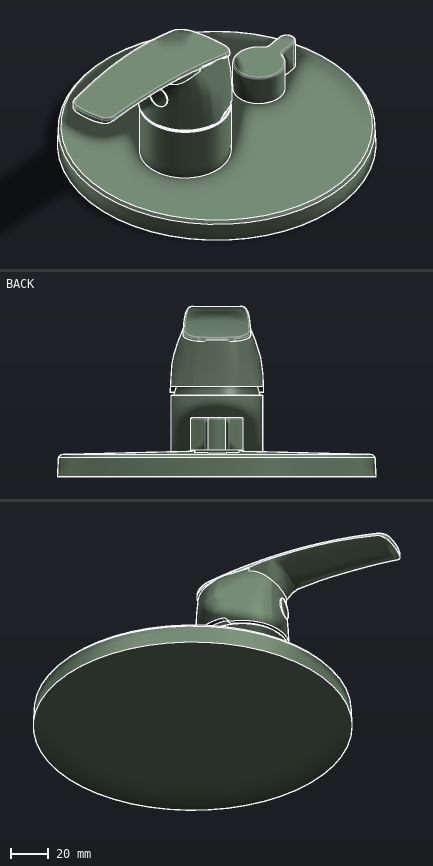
import cadquery as cq
import math

CLEAR_Z = 100.0
SIDE_CLEARANCE = 40.0
OVERLAP = 1.0

PLATE_RADIUS = 85.0
PLATE_SHOULDER_RADIUS = 84.5
PLATE_SHOULDER_Z = 10.3
PLATE_TOP_RADIUS = 83.0
PLATE_EDGE_Z = 12.0
PLATE_CROWN_Z = 14.0

VALVE_Y = -28.0
SLEEVE_RADIUS = 24.5
SLEEVE_TOP_Z = 43.7
SLEEVE_EDGE_CHAMFER = 0.4
NECK_RADIUS = 23.0
NECK_TOP_RADIUS = 21.0
NECK_TOP_Z = 50.0

SKIRT_Z = 45.0
SKIRT_RADIUS = 25.0
BODY_SECTIONS = [
    (SKIRT_Z, SKIRT_RADIUS, VALVE_Y + SKIRT_RADIUS, VALVE_Y - SKIRT_RADIUS, 2.0),
    (56.0, 24.5, -3.2, -52.4, 2.05),
    (66.0, 22.8, -4.0, -51.7, 2.2),
    (75.0, 19.6, -5.4, -51.2, 2.5),
    (86.0, 16.0, -7.2, -51.0, 2.6),
]
POINTS_PER_SECTION = 24
RELIEF_Z = 48.0
RELIEF_BACK_Y = -25.5
RELIEF_FRONT_Y = -31.0

LEVER_BACK_Y = -5.2
OVERALL_LENGTH = 200.01
LEVER_TIP_Y = PLATE_RADIUS - OVERALL_LENGTH
LEVER_RIM = 2.0
LEVER_BACK_CORNER = 10.0
LEVER_TIP_CORNER = 6.0
LEVER_TOP_ROUND = 1.0
LEVER_SHOULDER_Y = -8.0
LEVER_BACK_HALF_WIDTH = 18.1
LEVER_MID_Y = -43.0
LEVER_MID_HALF_WIDTH = 17.5
LEVER_TIP_SHOULDER_Y = -113.0
LEVER_TIP_HALF_WIDTH = 13.1
CREST_Y = -102.5
CREST_Z = 90.94
TOP_ARC_RADIUS = 288.0
BELLY_START_Y = -38.0
BELLY_END_Y = LEVER_TIP_Y - OVERLAP
BELLY_MARGIN = 1.08
HALF_WIDTH_TAPER = 0.062
BELLY_ROWS = 33
BELLY_COLUMNS = 13
BELLY_FIT = 0.02
KEEL_REFERENCE_Y = -62.4
KEEL_REFERENCE_Z = 80.2
KEEL_SLOPE = 0.087
KEEL_TIP_Y = -110.0
KEEL_TIP_RISE = 0.09
THROAT_Y = -59.5
THROAT_RADIUS = 8.0
THROAT_REACH = 7.0

PLUG_RADIUS = 5.7
PLUG_Z = 63.0
PLUG_FACE_Y = -52.1
PLUG_DEPTH = 6.0
PLUG_TILT = 3.5

KNOB_Y = 37.7
KNOB_RADIUS = 14.0
KNOB_BOTTOM_Z = 14.4
KNOB_TOP_Z = 31.5
KNOB_STEM_RADIUS = 23.73 / 2
POINTER_HALF_WIDTH = 4.7
POINTER_TIP_Y = 67.0
POINTER_BLEND = 3.0
KNOB_EDGE_ROUND = 0.7


def make_plate():
    """Round plate with a drafted wall, bevelled edge and slightly raised middle."""
    return (
        cq.Workplane("XZ")
        .lineTo(PLATE_RADIUS, 0)
        .lineTo(PLATE_SHOULDER_RADIUS, PLATE_SHOULDER_Z)
        .lineTo(PLATE_TOP_RADIUS, PLATE_EDGE_Z)
        .lineTo(0, PLATE_CROWN_Z)
        .close()
        .revolve(360, (0, 0, 0), (0, 1, 0))
    )


def make_sleeve():
    """Sleeve standing on the plate, with the tapered neck above it."""
    sleeve = (
        cq.Workplane("XY")
        .center(0, VALVE_Y)
        .circle(SLEEVE_RADIUS)
        .extrude(SLEEVE_TOP_Z)
        .faces(">Z")
        .chamfer(SLEEVE_EDGE_CHAMFER)
    )
    neck = (
        cq.Workplane("XY", origin=(0, VALVE_Y, SLEEVE_TOP_Z))
        .circle(NECK_RADIUS)
        .workplane(offset=NECK_TOP_Z - SLEEVE_TOP_Z)
        .circle(NECK_TOP_RADIUS)
        .loft()
    )
    return sleeve.union(neck)


def body_section(height, half_width, back_y, front_y, exponent):
    """Closed superellipse wire at the given height."""
    center_y = (back_y + front_y) / 2
    half_length = (back_y - front_y) / 2
    points = []
    for index in range(POINTS_PER_SECTION):
        angle = 2 * math.pi * index / POINTS_PER_SECTION
        c = math.cos(angle)
        s = math.sin(angle)
        x = half_width * math.copysign(abs(c) ** (2 / exponent), c)
        y = half_length * math.copysign(abs(s) ** (2 / exponent), s)
        points.append(cq.Vector(x, center_y + y, height))
    return cq.Wire.assembleEdges([cq.Edge.makeSpline(points, periodic=True)])


def under_top_surface(depth):
    """Cylinder across the part lying below the lever's top surface by the given depth."""
    return (
        cq.Workplane("YZ")
        .center(CREST_Y, CREST_Z - TOP_ARC_RADIUS)
        .circle(TOP_ARC_RADIUS - depth)
        .extrude(SIDE_CLEARANCE, both=True)
    )


def make_body():
    """Tapered handle body with its stepped lower edge, trimmed under the lever."""
    wires = [body_section(*section) for section in BODY_SECTIONS]
    body = cq.Workplane(cq.Solid.makeLoft(wires))
    relief = (
        cq.Workplane("YZ")
        .moveTo(OVERLAP, SKIRT_Z - OVERLAP)
        .lineTo(OVERLAP, RELIEF_Z)
        .lineTo(RELIEF_BACK_Y, RELIEF_Z)
        .spline([(RELIEF_FRONT_Y, SKIRT_Z)], tangents=[(-1, 0), (-1, 0)], includeCurrent=True)
        .lineTo(RELIEF_FRONT_Y, SKIRT_Z - OVERLAP)
        .close()
        .extrude(SIDE_CLEARANCE, both=True)
    )
    return body.intersect(under_top_surface(LEVER_RIM / 2)).cut(relief)


def keel_height(y):
    """Height of the lever's underside in the plane of symmetry."""
    height = KEEL_REFERENCE_Z + KEEL_SLOPE * (KEEL_REFERENCE_Y - y)
    if y < KEEL_TIP_Y:
        height += KEEL_TIP_RISE * (KEEL_TIP_Y - y) ** 2
    if y > THROAT_Y:
        run = min(y - THROAT_Y, THROAT_REACH)
        rise = math.sqrt(THROAT_RADIUS**2 - run**2)
        overrun = y - THROAT_Y - run
        height -= THROAT_RADIUS - rise + overrun * run / rise
    return height


def rim_height(y):
    """Height of the lower edge of the lever's side wall."""
    arc_radius = TOP_ARC_RADIUS - LEVER_RIM
    return CREST_Z - TOP_ARC_RADIUS + math.sqrt(arc_radius**2 - (y - CREST_Y) ** 2)


def make_belly():
    """Block above the arched underside of the lever."""
    grid = []
    for row in range(BELLY_ROWS):
        y = BELLY_START_Y + (BELLY_END_Y - BELLY_START_Y) * row / (BELLY_ROWS - 1)
        half_width = LEVER_TIP_HALF_WIDTH + HALF_WIDTH_TAPER * (y - LEVER_TIP_SHOULDER_Y)
        line = []
        for column in range(BELLY_COLUMNS):
            x = BELLY_MARGIN * half_width * (2 * column / (BELLY_COLUMNS - 1) - 1)
            arch = (x / half_width) ** 2
            z = keel_height(y) + (rim_height(y) - keel_height(y)) * arch
            line.append(cq.Vector(x, y, z))
        grid.append(line)
    underside = cq.Face.makeSplineApprox(grid, tol=BELLY_FIT)
    return cq.Workplane(cq.Solid.extrudeLinear(underside, cq.Vector(0, 0, CLEAR_Z - SKIRT_Z)))


def make_lever_plan():
    """Prism with the lever's plan outline."""
    plan = (
        cq.Workplane("XY", origin=(0, 0, SKIRT_Z))
        .moveTo(-LEVER_BACK_HALF_WIDTH, LEVER_SHOULDER_Y)
        .threePointArc((0, LEVER_BACK_Y), (LEVER_BACK_HALF_WIDTH, LEVER_SHOULDER_Y))
        .threePointArc((LEVER_MID_HALF_WIDTH, LEVER_MID_Y), (LEVER_TIP_HALF_WIDTH, LEVER_TIP_SHOULDER_Y))
        .threePointArc((0, LEVER_TIP_Y), (-LEVER_TIP_HALF_WIDTH, LEVER_TIP_SHOULDER_Y))
        .threePointArc((-LEVER_MID_HALF_WIDTH, LEVER_MID_Y), (-LEVER_BACK_HALF_WIDTH, LEVER_SHOULDER_Y))
        .close()
        .extrude(CLEAR_Z - SKIRT_Z)
    )
    plan = plan.edges("|Z").edges(">Y").fillet(LEVER_BACK_CORNER)
    return plan.edges("|Z").edges("<Y").fillet(LEVER_TIP_CORNER)


def make_lever():
    """Lever blade: arched underside in front, thin rim around the body at the back."""
    blank = make_lever_plan().intersect(under_top_surface(0))
    blank = blank.faces(">Z").edges().fillet(LEVER_TOP_ROUND)
    rear_zone = (
        cq.Workplane("XY", origin=(0, BELLY_START_Y / 2, 0))
        .rect(2 * SIDE_CLEARANCE, -BELLY_START_Y)
        .extrude(CLEAR_Z)
    )
    rear_rim = blank.cut(under_top_surface(LEVER_RIM)).intersect(rear_zone)
    return blank.intersect(make_belly()).union(rear_rim)


def make_knob():
    """Diverter knob with a pointer, held just above the plate on a stem."""
    height = KNOB_TOP_Z - KNOB_BOTTOM_Z
    dial = cq.Workplane("XY", origin=(0, KNOB_Y, KNOB_BOTTOM_Z)).circle(KNOB_RADIUS).extrude(height)
    pointer_end_y = POINTER_TIP_Y - POINTER_HALF_WIDTH
    pointer = (
        cq.Workplane("XY", origin=(0, 0, KNOB_BOTTOM_Z))
        .moveTo(-POINTER_HALF_WIDTH, KNOB_Y)
        .lineTo(-POINTER_HALF_WIDTH, pointer_end_y)
        .threePointArc((0, POINTER_TIP_Y), (POINTER_HALF_WIDTH, pointer_end_y))
        .lineTo(POINTER_HALF_WIDTH, KNOB_Y)
        .close()
        .extrude(height)
    )
    knob = dial.union(pointer)
    joint_y = KNOB_Y + math.sqrt(KNOB_RADIUS**2 - POINTER_HALF_WIDTH**2)
    joints = cq.selectors.BoxSelector(
        (-KNOB_RADIUS, joint_y - OVERLAP, 0),
        (KNOB_RADIUS, joint_y + OVERLAP, CLEAR_Z),
    )
    knob = knob.edges("|Z").edges(joints).fillet(POINTER_BLEND)
    knob = knob.faces(">Z").edges().fillet(KNOB_EDGE_ROUND)
    stem = cq.Workplane("XY", origin=(0, KNOB_Y, 0)).circle(KNOB_STEM_RADIUS).extrude(KNOB_BOTTOM_Z)
    return knob.union(stem)


def make_plug():
    """Flat-faced plug, tilted to follow the draft of the handle's front wall."""
    return (
        cq.Workplane("XZ")
        .circle(PLUG_RADIUS)
        .extrude(-PLUG_DEPTH)
        .rotate((0, 0, 0), (1, 0, 0), -PLUG_TILT)
        .translate((0, PLUG_FACE_Y, PLUG_Z))
    )


handle = make_body().union(make_lever())
result = make_plate().union(make_sleeve()).union(handle).union(make_knob()).union(make_plug())